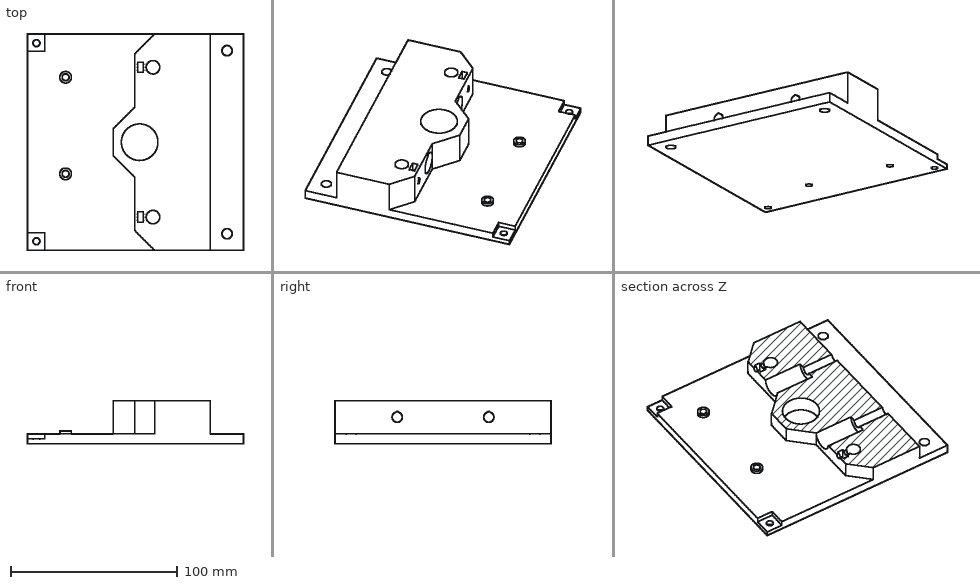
import cadquery as cq
import math

plate_size = 130.0
plate_thickness = 6.0
half_plate = plate_size / 2
left_edge = -half_plate

block_height = 20.0
block_top = plate_thickness + block_height
block_back_x = left_edge + 110.0
block_face_x = left_edge + 64.5
corner_chamfer = 12.0
nose_length = 13.0
nose_tip_half_width = 8.0
nose_root_half_width = nose_tip_half_width + nose_length

corner_step_size = 10.5
corner_step_floor = 3.0
corner_hole_diameter = 4.0
corner_hole_inset = 5.5

rear_hole_diameter = 6.0
rear_hole_x = left_edge + 120.0
rear_hole_y = 55.0

boss_diameter = 7.0
boss_bore_diameter = 4.0
boss_height = 1.8
boss_x = left_edge + 23.0
boss_y_positions = (39.0, -19.0)

center_bore_diameter = 22.0
center_bore_x = left_edge + 67.5

clamp_y = 45.0
rod_diameter = 8.1
rod_x = left_edge + 75.5
nut_pocket_length = 3.4
nut_pocket_width = 6.2
nut_pocket_x = left_edge + 68.0
clamp_hole_diameter = 3.5
clamp_roof_slope = math.radians(45)

cross_hole_y = 27.5
cross_hole_diameter = 6.0
counterbore_diameter = 13.0
counterbore_depth = 25.0
horizontal_axis_z = plate_thickness + block_height / 2
cross_roof_slope = math.radians(30)


def make_plate():
    return cq.Workplane("XY").box(plate_size, plate_size, plate_thickness, centered=(True, True, False))


def make_block():
    """Block with cut front corners and a tapered nose in the middle of its front face."""
    corner_x = block_face_x + corner_chamfer
    corner_y = half_plate - corner_chamfer
    nose_tip_x = block_face_x - nose_length
    half_outline = [
        (nose_tip_x, nose_tip_half_width),
        (block_face_x, nose_root_half_width),
        (block_face_x, corner_y),
        (corner_x, half_plate),
        (block_back_x, half_plate),
    ]
    mirrored = [(x, -y) for x, y in reversed(half_outline)]
    outline = cq.Workplane("XY").polyline(half_outline + mirrored).close()
    return outline.extrude(block_top)


def vertical_cylinder(x, y, diameter, bottom, top):
    return cq.Workplane("XY", origin=(x, y, bottom)).circle(diameter / 2).extrude(top - bottom)


def teardrop_hole(y, diameter, roof_slope, start_x, end_x):
    """Hole along +X whose round section rises to a pointed roof tangent to the circle."""
    radius = diameter / 2
    tangent_y = radius * math.sin(roof_slope)
    tangent_z = radius * math.cos(roof_slope)
    tip_height = radius / math.cos(roof_slope)
    section = (
        cq.Workplane("YZ", origin=(start_x, y, horizontal_axis_z))
        .moveTo(-tangent_y, tangent_z)
        .threePointArc((0, -radius), (tangent_y, tangent_z))
        .lineTo(0, tip_height)
        .close()
    )
    return section.extrude(end_x - start_x)


def corner_cut(side):
    """Corner step and its screw hole; side is +1 or -1 along Y."""
    step = cq.Workplane("XY").box(
        corner_step_size, corner_step_size, plate_thickness - corner_step_floor, centered=(True, True, False)
    )
    step_center = half_plate - corner_step_size / 2
    step = step.translate((-step_center, side * step_center, corner_step_floor))
    hole_offset = half_plate - corner_hole_inset
    hole = vertical_cylinder(-hole_offset, side * hole_offset, corner_hole_diameter, 0, plate_thickness)
    return step.union(hole)


def clamp_cut(side):
    """Rod socket, nut pocket and clamp screw hole; side is +1 or -1 along Y."""
    y = side * clamp_y
    socket = vertical_cylinder(rod_x, y, rod_diameter, plate_thickness, block_top)
    pocket = cq.Workplane("XY").box(
        nut_pocket_length, nut_pocket_width, block_height, centered=(True, True, False)
    )
    pocket = pocket.translate((nut_pocket_x, y, plate_thickness))
    screw_hole = teardrop_hole(y, clamp_hole_diameter, clamp_roof_slope, block_face_x, rod_x)
    return socket.union(pocket).union(screw_hole)


def cross_hole_cut(side):
    """Counterbored hole from the front face to the back of the block."""
    y = side * cross_hole_y
    through = teardrop_hole(y, cross_hole_diameter, cross_roof_slope, block_face_x, block_back_x)
    counterbore_end = block_face_x + counterbore_depth
    counterbore = teardrop_hole(
        y, counterbore_diameter, cross_roof_slope, block_face_x, counterbore_end
    )
    return through.union(counterbore)


result = make_plate().union(make_block())
result = result.cut(
    vertical_cylinder(center_bore_x, 0, center_bore_diameter, plate_thickness, block_top)
)

for side in (1, -1):
    result = result.cut(corner_cut(side))
    result = result.cut(clamp_cut(side))
    result = result.cut(cross_hole_cut(side))
    result = result.cut(
        vertical_cylinder(rear_hole_x, side * rear_hole_y, rear_hole_diameter, 0, plate_thickness)
    )

boss_top = plate_thickness + boss_height
for boss_y in boss_y_positions:
    result = result.union(vertical_cylinder(boss_x, boss_y, boss_diameter, 0, boss_top))
    result = result.cut(vertical_cylinder(boss_x, boss_y, boss_bore_diameter, 0, boss_top))